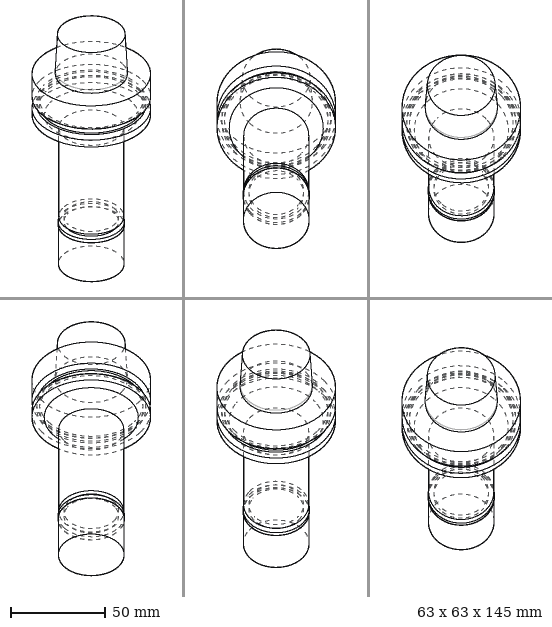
import cadquery as cq

total_height = 145
flange_top = 120.0
flange_bottom = 94.1
groove_upper_edge = 105.5
groove_lower_edge = 98.5
groove_bevel_height = 1.9
nose_collar_height = 2.2
cone_bottom = 86.0
shank_bottom = 29.9
nut_top = 26.8
nut_rim_height = 2.2

nose_top_diameter = 36.0
nose_collar_diameter = 38.3
flange_diameter = 63.0
groove_bevel_diameter = 57.9
groove_diameter = 55.0
cone_top_diameter = 49.9
shank_diameter = 34.5
neck_diameter = 29
nut_rim_diameter = 35.2
nut_diameter = 35.0


def frustum(bottom, top, bottom_diameter, top_diameter):
    """Solid cone section about the Z axis."""
    half_profile = [
        (0, bottom),
        (bottom_diameter / 2, bottom),
        (top_diameter / 2, top),
        (0, top),
    ]
    return cq.Workplane("XZ").polyline(half_profile).close().revolve(360, (0, 0), (0, 1))


def cylinder(bottom, top, diameter):
    """Solid cylinder about the Z axis."""
    return cq.Workplane("XY").workplane(offset=bottom).circle(diameter / 2).extrude(top - bottom)


def make_nut():
    rim_bottom = nut_top - nut_rim_height
    body = cylinder(0, rim_bottom, nut_diameter)
    return body.union(cylinder(rim_bottom, nut_top, nut_rim_diameter))


def make_shank():
    neck = cylinder(nut_top, shank_bottom, neck_diameter)
    shank = cylinder(shank_bottom, cone_bottom, shank_diameter)
    cone = frustum(cone_bottom, flange_bottom, shank_diameter, cone_top_diameter)
    return neck.union(shank).union(cone)


def make_flange():
    """Flange with a bevelled gripper groove around its rim."""
    groove_floor_top = groove_upper_edge - groove_bevel_height
    groove_floor_bottom = groove_lower_edge + groove_bevel_height
    lower_rim = cylinder(flange_bottom, groove_lower_edge, flange_diameter)
    lower_bevel = frustum(groove_lower_edge, groove_floor_bottom, flange_diameter, groove_bevel_diameter)
    groove_floor = cylinder(groove_floor_bottom, groove_floor_top, groove_diameter)
    upper_bevel = frustum(groove_floor_top, groove_upper_edge, groove_bevel_diameter, flange_diameter)
    upper_rim = cylinder(groove_upper_edge, flange_top, flange_diameter)
    return lower_rim.union(lower_bevel).union(groove_floor).union(upper_bevel).union(upper_rim)


def make_nose():
    """Tapered spindle nose on a short straight collar."""
    collar_top = flange_top + nose_collar_height
    collar = cylinder(flange_top, collar_top, nose_collar_diameter)
    return collar.union(frustum(collar_top, total_height, nose_collar_diameter, nose_top_diameter))


result = make_nut().union(make_shank()).union(make_flange()).union(make_nose())